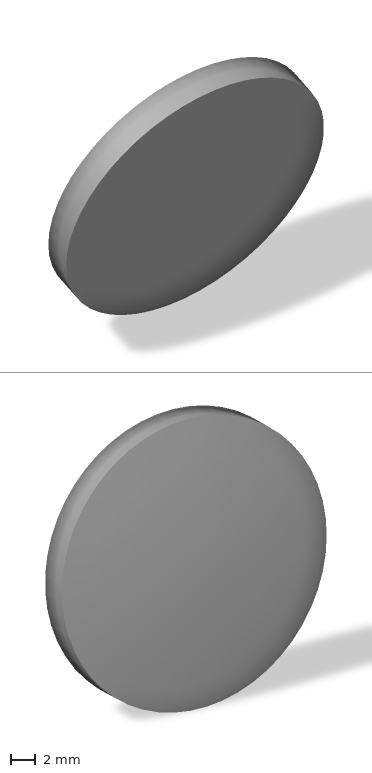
import cadquery as cq
import math

diameter = 25.0
centre_thickness = 3.72
edge_thickness = 2.55

radius = diameter / 2
dome_height = centre_thickness - edge_thickness
sphere_radius = (radius**2 + dome_height**2) / (2 * dome_height)

mid_offset = radius / 2
mid_depth = sphere_radius - math.sqrt(sphere_radius**2 - mid_offset**2)

half_section = (
    cq.Workplane("XY")
    .moveTo(0, 0)
    .threePointArc((mid_depth, -mid_offset), (dome_height, -radius))
    .lineTo(centre_thickness, -radius)
    .lineTo(centre_thickness, 0)
    .close()
)
result = half_section.revolve(360, (0, 0, 0), (1, 0, 0))